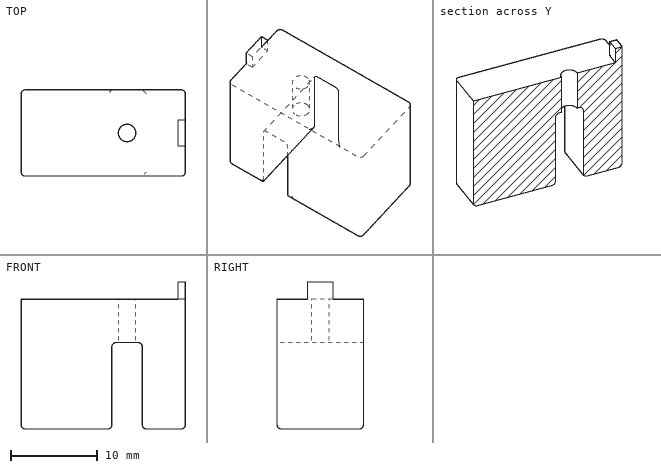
import cadquery as cq

length = 19.0
width = 10.0
total_height = 17.0
body_height = 15.01
edge_radius = 0.5

slot_width = 3.5
slot_height = 10.0
slot_center_x = 12.25

hole_diameter = 2.0

tab_thickness = 0.9
tab_width = 3.0
tab_height = total_height - body_height


def make_body():
    """Block with its lower left edge midpoint at the origin and rounded upright edges."""
    block = cq.Workplane("XY").box(length, width, body_height, centered=(False, True, False))
    return block.edges("|Z").fillet(edge_radius)


def make_slot():
    """Slot volume with rounded upper corners."""
    slot = (
        cq.Workplane("XY")
        .center(slot_center_x, 0)
        .box(slot_width, width, slot_height, centered=(True, True, False))
    )
    return slot.edges("|Y and >Z").fillet(edge_radius)


def make_hole():
    """Cylinder from the bottom plane to the top face, above the slot center."""
    return cq.Workplane("XY").center(slot_center_x, 0).circle(hole_diameter / 2).extrude(body_height)


def make_tab():
    """Upright tab flush with the right end."""
    return (
        cq.Workplane("XY", origin=(length - tab_thickness, 0, body_height))
        .box(tab_thickness, tab_width, tab_height, centered=(False, True, False))
    )


body = make_body().cut(make_slot())
body = body.faces("<Z").edges().fillet(edge_radius)
result = body.cut(make_hole()).union(make_tab())